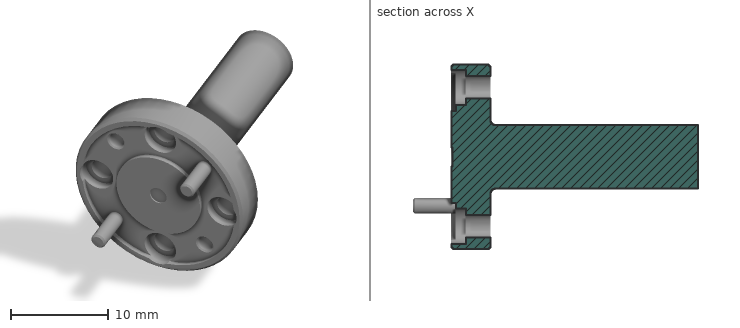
import cadquery as cq
import math

TOTAL_LENGTH = 29.27
PIN_LENGTH = 3.85
FLANGE_DIAMETER = 19.05
FLANGE_THICKNESS = 4.1
FLANGE_CHAMFER = 0.25
STEM_DIAMETER = 6.62
STEM_FILLET = 0.45

RECESS_DIAMETER = 17.33
RECESS_DEPTH = 0.5
BOSS_DIAMETER = 9.5
CENTRE_HOLE_DIAMETER = 1.9
CENTRE_HOLE_DEPTH = 0.15

PITCH_RADIUS = 7.15
SCREW_HOLE_DIAMETER = 2.28
COUNTERBORE_DIAMETER = 3.57
COUNTERBORE_DEPTH = 1.5
DOWEL_HOLE_DIAMETER = 1.7
DOWEL_HOLE_CHAMFER = 0.15
PIN_DIAMETER = 1.6
PIN_CHAMFER = 0.18

STEM_END = TOTAL_LENGTH - PIN_LENGTH
SCREW_ANGLES = (0, 90, 180, 270)
PIN_ANGLES = (45, 225)
DOWEL_HOLE_ANGLES = (135, 315)


def cylinder(diameter, y_start, y_end, x=0, z=0):
    """Solid cylinder parallel to Y between two Y positions."""
    start = cq.Vector(x, y_start, z)
    direction = cq.Vector(0, 1, 0)
    solid = cq.Solid.makeCylinder(diameter / 2, y_end - y_start, start, direction)
    return cq.Workplane(obj=solid)


def on_pitch_circle(angle):
    """X and Z of a point on the pitch circle."""
    radians = math.radians(angle)
    return PITCH_RADIUS * math.cos(radians), PITCH_RADIUS * math.sin(radians)


def flange_and_stem():
    """Revolved body with chamfered rim and a concave fillet at the stem root."""
    flange_radius = FLANGE_DIAMETER / 2
    stem_radius = STEM_DIAMETER / 2
    profile = (
        cq.Workplane("XY")
        .lineTo(flange_radius - FLANGE_CHAMFER, 0)
        .lineTo(flange_radius, FLANGE_CHAMFER)
        .lineTo(flange_radius, FLANGE_THICKNESS - FLANGE_CHAMFER)
        .lineTo(flange_radius - FLANGE_CHAMFER, FLANGE_THICKNESS)
        .lineTo(stem_radius + STEM_FILLET, FLANGE_THICKNESS)
        .radiusArc((stem_radius, FLANGE_THICKNESS + STEM_FILLET), STEM_FILLET)
        .lineTo(stem_radius, STEM_END)
        .lineTo(0, STEM_END)
        .close()
    )
    return profile.revolve(360, (0, 0), (0, 1))


def front_recess():
    ring = cylinder(RECESS_DIAMETER, 0, RECESS_DEPTH)
    return ring.cut(cylinder(BOSS_DIAMETER, 0, RECESS_DEPTH))


def screw_hole(angle):
    x, z = on_pitch_circle(angle)
    hole = cylinder(SCREW_HOLE_DIAMETER, 0, FLANGE_THICKNESS, x, z)
    return hole.union(cylinder(COUNTERBORE_DIAMETER, 0, COUNTERBORE_DEPTH, x, z))


def dowel_hole(angle):
    """Through hole countersunk at the recess floor."""
    x, z = on_pitch_circle(angle)
    hole = cylinder(DOWEL_HOLE_DIAMETER, 0, FLANGE_THICKNESS, x, z)
    radius = DOWEL_HOLE_DIAMETER / 2
    countersink = cq.Solid.makeCone(
        radius + DOWEL_HOLE_CHAMFER,
        radius,
        DOWEL_HOLE_CHAMFER,
        cq.Vector(x, RECESS_DEPTH, z),
        cq.Vector(0, 1, 0),
    )
    return hole.union(cq.Workplane(obj=countersink))


def pin(angle):
    """Pin with a chamfered tip, seated through the flange thickness."""
    x, z = on_pitch_circle(angle)
    body = cylinder(PIN_DIAMETER, -PIN_LENGTH, FLANGE_THICKNESS, x, z)
    return body.faces("<Y").chamfer(PIN_CHAMFER)


result = flange_and_stem().cut(front_recess())
result = result.cut(cylinder(CENTRE_HOLE_DIAMETER, 0, CENTRE_HOLE_DEPTH))
for screw_angle in SCREW_ANGLES:
    result = result.cut(screw_hole(screw_angle))
for dowel_angle in DOWEL_HOLE_ANGLES:
    result = result.cut(dowel_hole(dowel_angle))
for pin_angle in PIN_ANGLES:
    result = result.union(pin(pin_angle))